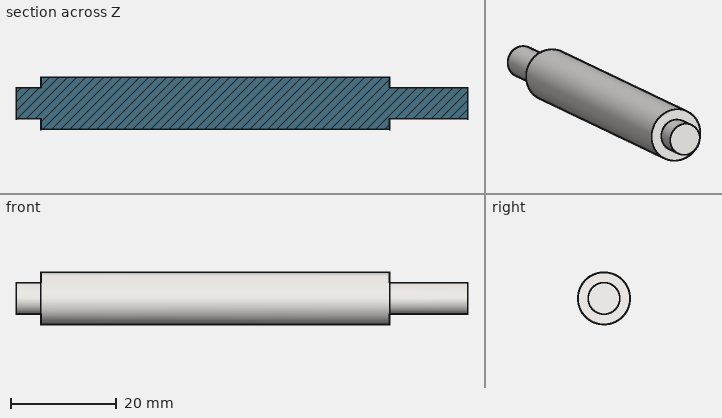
import cadquery as cq

total_length = 85.6
left_journal_length = 4.7
right_journal_length = 14.8
body_length = total_length - left_journal_length - right_journal_length
body_diameter = 9.9
journal_diameter = 6.0


def cylinder_along_x(start, length, diameter):
    """Solid cylinder on the X axis, running from start toward +X."""
    return cq.Workplane("YZ", origin=(start, 0, 0)).circle(diameter / 2).extrude(length)


left_end = -total_length / 2
body_start = left_end + left_journal_length
body_end = body_start + body_length

left_journal = cylinder_along_x(left_end, left_journal_length, journal_diameter)
body = cylinder_along_x(body_start, body_length, body_diameter)
right_journal = cylinder_along_x(body_end, right_journal_length, journal_diameter)

result = body.union(left_journal).union(right_journal)